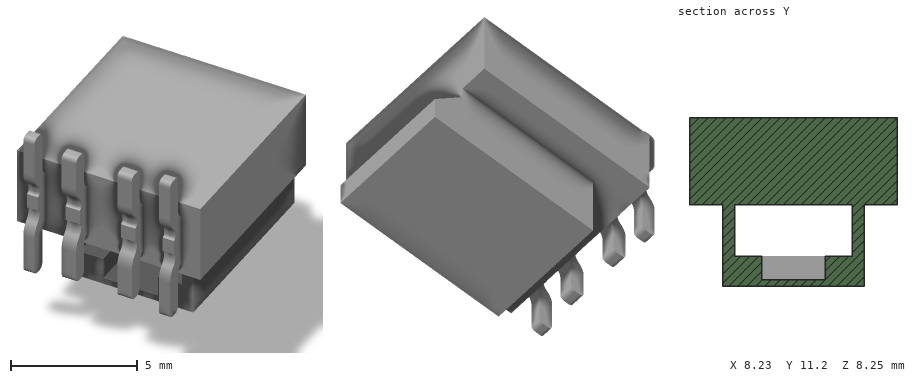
import cadquery as cq
import math

body_width = 8.23
body_depth = 8.72
body_height = 3.46
body_mid_z = body_height / 2

channel_width = 5.62
channel_wall = 0.5
channel_height = 3.22
channel_front = 1.82
channel_overhang = 1.45
channel_rear = body_depth + channel_overhang
floor_thickness = 1.2
floor_top = floor_thickness - channel_height
ramp_start_z = -0.57

slot_width = 2.47
slot_depth = 0.92
slot_overhang = 0.16
slot_rear = body_depth + slot_overhang

pin_reach = 0.99
leg_thickness = 0.65
web_thickness = 0.56
tip_radius = 0.22
root_half_height = 1.07
root_radius = 0.62
bend_outer_end = 1.51
bend_inner_end = 0.54
bend_outer_share = 0.61
pad_step = 0.13
pad_half_height = 0.33
pad_fillet_radius = 0.15
outer_pin_spacing = 6.1
outer_pin_width = 0.5
outer_pin_length = 6.6
inner_pin_spacing = 2.5
inner_pin_width = 0.65
inner_pin_length = 6.04


def box_between(x_min, x_max, y_min, y_max, z_min, z_max):
    """Axis-aligned box given by its limits."""
    return cq.Workplane("XY").box(
        x_max - x_min, y_max - y_min, z_max - z_min, centered=False
    ).translate((x_min, y_min, z_min))


def make_body():
    half = body_width / 2
    return box_between(-half, half, 0, body_depth, 0, body_height)


def make_channel():
    """Channel whose side walls ramp down to the floor behind the block."""
    profile = [
        (channel_front, 0),
        (body_depth, 0),
        (body_depth, ramp_start_z),
        (channel_rear, floor_top),
        (channel_rear, -channel_height),
        (channel_front, -channel_height),
    ]
    channel = cq.Workplane("YZ").polyline(profile).close().extrude(channel_width / 2, both=True)
    half_gap = channel_width / 2 - channel_wall
    opening = box_between(-half_gap, half_gap, channel_front, channel_rear, floor_top, 0)
    half_slot = slot_width / 2
    slot = box_between(-half_slot, half_slot, channel_front, slot_rear, floor_top - slot_depth, floor_top)
    return channel.cut(opening).cut(slot)


def make_half_pin(width, length):
    """Upper half of a pin, built about Z = 0 and bent out from the block to its tip."""
    tip_z = length / 2
    leg_front = -pin_reach
    leg_back = leg_front + leg_thickness
    web_front = -web_thickness
    pad_front = web_front - pad_step

    bend_rise = bend_outer_end - bend_inner_end
    bend_angle = 2 * math.atan((pin_reach - web_thickness) / bend_rise)
    bend_radius_sum = bend_rise / math.sin(bend_angle)
    outer_radius = bend_outer_share * bend_radius_sum
    inflection_y = leg_front + outer_radius * (1 - math.cos(bend_angle))
    inflection_z = bend_outer_end - outer_radius * math.sin(bend_angle)

    root_drop = math.sqrt(root_radius**2 - (root_radius + leg_back) ** 2)
    pad_arc_rise = math.sqrt(pad_fillet_radius**2 - (pad_fillet_radius - pad_step) ** 2)

    half_pin = (
        cq.Workplane("YZ")
        .moveTo(0, 0)
        .lineTo(0, root_half_height)
        .radiusArc((leg_back, root_half_height + root_drop), root_radius)
        .lineTo(leg_back, tip_z - tip_radius)
        .radiusArc((leg_back - tip_radius, tip_z), -tip_radius)
        .lineTo(leg_front + tip_radius, tip_z)
        .radiusArc((leg_front, tip_z - tip_radius), -tip_radius)
        .lineTo(leg_front, bend_outer_end)
        .tangentArcPoint((inflection_y, inflection_z), relative=False)
        .tangentArcPoint((web_front, bend_inner_end), relative=False)
        .lineTo(web_front, pad_half_height + pad_arc_rise)
        .tangentArcPoint((pad_front, pad_half_height), relative=False)
        .lineTo(pad_front, 0)
        .close()
        .extrude(width / 2, both=True)
    )
    return half_pin


def make_pin(x, width, length):
    half_pin = make_half_pin(width, length)
    pin = half_pin.union(half_pin.mirror("XY")).clean()
    return pin.translate((x, 0, body_mid_z))


result = make_body().union(make_channel())
for side in (-1, 1):
    result = result.union(make_pin(side * outer_pin_spacing / 2, outer_pin_width, outer_pin_length))
    result = result.union(make_pin(side * inner_pin_spacing / 2, inner_pin_width, inner_pin_length))